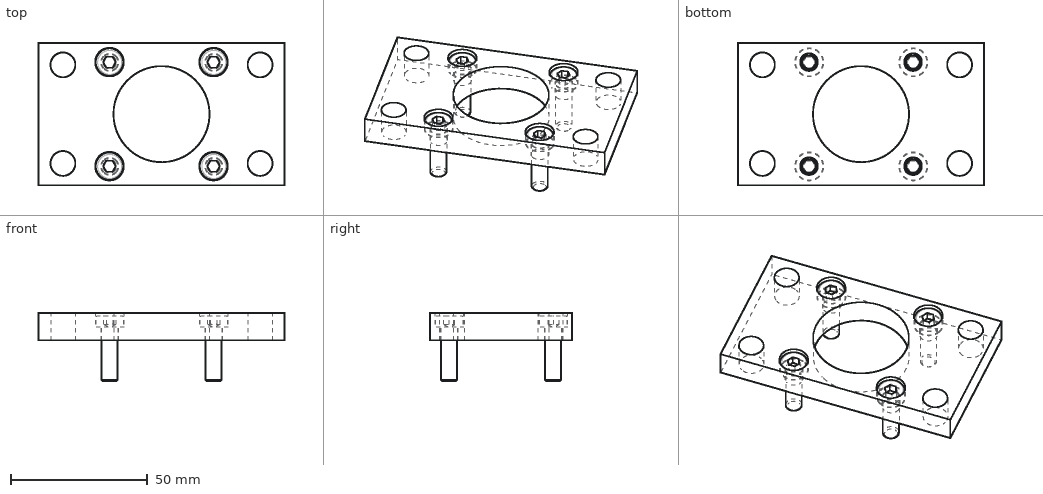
import cadquery as cq
import math

plate_length = 90.0
plate_width = 52.0
plate_thickness = 10.0
bore_diameter = 35.0

mount_hole_diameter = 9.0
mount_spacing_x = 72.0
mount_spacing_y = 36.0

screw_spacing = 38.0
clearance_diameter = 6.5
counterbore_diameter = 10.5
counterbore_depth = 5.0

shank_diameter = 6.0
shank_length = 20.0
tip_chamfer = 0.6
head_diameter = 10.0
head_height = 4.0
head_rounding = 0.6
socket_across_flats = 4.0
socket_depth = 3.0
socket_cone_angle = 120.0

seat_height = plate_thickness - counterbore_depth


def make_plate():
    """Rectangular plate with its bore, mounting holes and screw holes."""
    plate = cq.Workplane("XY").box(
        plate_length, plate_width, plate_thickness, centered=(True, True, False)
    )
    plate = plate.faces(">Z").workplane().hole(bore_diameter)
    plate = (
        plate.faces(">Z")
        .workplane()
        .rarray(mount_spacing_x, mount_spacing_y, 2, 2)
        .hole(mount_hole_diameter)
    )
    return (
        plate.faces(">Z")
        .workplane()
        .rarray(screw_spacing, screw_spacing, 2, 2)
        .cboreHole(clearance_diameter, counterbore_diameter, counterbore_depth)
    )


def make_socket():
    """Hexagonal recess in the screw head, ending in a drill-point cone."""
    across_corners = socket_across_flats / math.cos(math.pi / 6)
    cone_radius = across_corners / 2
    cone_height = cone_radius / math.tan(math.radians(socket_cone_angle / 2))
    total_depth = socket_depth + cone_height
    hexagon = (
        cq.Workplane("XY")
        .workplane(offset=head_height)
        .polygon(6, across_corners)
        .extrude(-total_depth)
    )
    drill = (
        cq.Workplane("XZ")
        .moveTo(0, head_height - total_depth)
        .lineTo(cone_radius, head_height - socket_depth)
        .lineTo(cone_radius, head_height)
        .lineTo(0, head_height)
        .close()
        .revolve(360, (0, 0), (0, 1))
    )
    return hexagon.intersect(drill)


def make_screw():
    """Screw along Z with the underside of its head on Z = 0."""
    head = cq.Workplane("XY").circle(head_diameter / 2).extrude(head_height)
    head = head.faces(">Z").edges().fillet(head_rounding)
    shank = cq.Workplane("XY").circle(shank_diameter / 2).extrude(-shank_length)
    shank = shank.faces("<Z").chamfer(tip_chamfer)
    return head.union(shank).cut(make_socket())


result = make_plate()
screw = make_screw()
for side_x in (-1, 1):
    for side_y in (-1, 1):
        screw_position = (side_x * screw_spacing / 2, side_y * screw_spacing / 2, seat_height)
        result = result.union(screw.translate(screw_position))